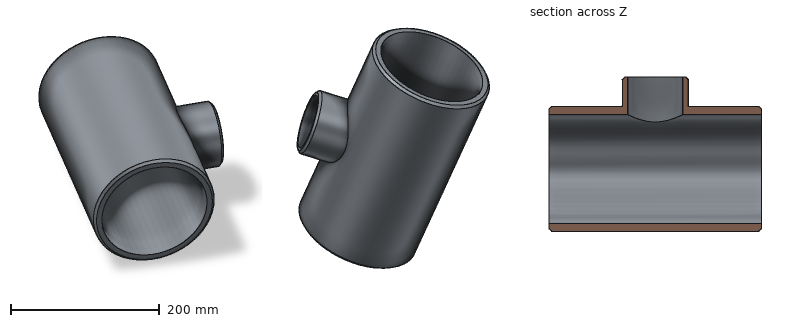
import cadquery as cq

run_length = 285.5
run_diameter = 168.28
run_wall = 10.97

branch_diameter = 88.9
branch_wall = 7.62
branch_reach = 123.95

bevel_length = 3.5
bevel_depth = 3.5

run_radius = run_diameter / 2
run_bore_radius = run_radius - run_wall
branch_radius = branch_diameter / 2
branch_bore_radius = branch_radius - branch_wall


def run_body():
    """Solid cylinder centred on the origin, bevelled at both ends."""
    end = run_length / 2
    end_radius = run_radius - bevel_depth
    return (
        cq.Workplane("XY")
        .moveTo(-end, 0)
        .lineTo(-end, end_radius)
        .lineTo(-end + bevel_length, run_radius)
        .lineTo(end - bevel_length, run_radius)
        .lineTo(end, end_radius)
        .lineTo(end, 0)
        .close()
        .revolve(360, (0, 0, 0), (1, 0, 0))
    )


def branch_body():
    """Solid cylinder from the run axis out along +Y, bevelled at its free end."""
    return (
        cq.Workplane("XY")
        .lineTo(branch_radius, 0)
        .lineTo(branch_radius, branch_reach - bevel_length)
        .lineTo(branch_radius - bevel_depth, branch_reach)
        .lineTo(0, branch_reach)
        .close()
        .revolve(360, (0, 0, 0), (0, 1, 0))
    )


def run_bore():
    """Bore through the full length of the run."""
    return cq.Workplane("YZ").circle(run_bore_radius).extrude(run_length / 2, both=True)


def branch_bore():
    """Bore from the run axis through the branch end face."""
    return cq.Workplane("XZ").circle(branch_bore_radius).extrude(-branch_reach)


result = run_body().union(branch_body()).cut(run_bore()).cut(branch_bore())